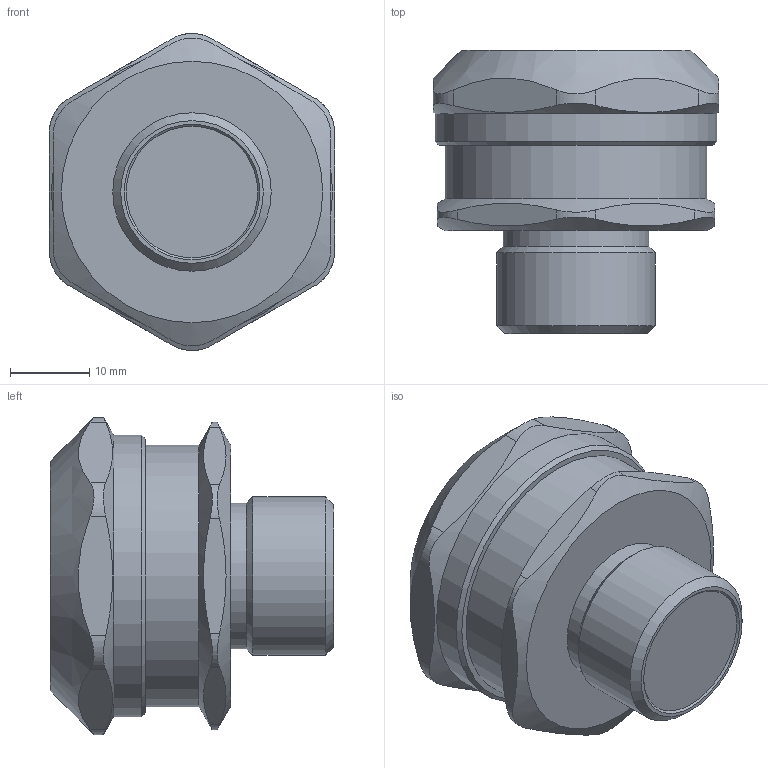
import cadquery as cq
import math


CAP_HEX_LENGTH = 8.0
COLLAR_LENGTH = 4.0
BODY_LENGTH = 6.75
BODY_HEX_LENGTH = 4.0
NECK_LENGTH = 2.0
THREAD_LENGTH = 11.0

COLLAR_DIAMETER = 35.5
BODY_DIAMETER = 33.0
NECK_DIAMETER = 18.4
THREAD_DIAMETER = 20.0

CAP_ACROSS_FLATS = 36.0
BODY_HEX_ACROSS_FLATS = 35.0
HEX_SIDES = 6
HEX_CORNER_ANGLE = 180 / HEX_SIDES
HEX_CORNER_RADIUS = 5.0
HEX_BEVEL_ANGLE = 30.0
CAP_REAR_DIAMETER = 29.0
CAP_REAR_ANGLE = 45.0

COLLAR_CHAMFER = 0.5
THREAD_FRONT_CHAMFER = 1.0
THREAD_REAR_CHAMFER = (THREAD_DIAMETER - NECK_DIAMETER) / 2
RECESS_MOUTH_DIAMETER = 17.1
RECESS_FLOOR_DIAMETER = 16.6
RECESS_DEPTH = 0.25

CAP_END = CAP_HEX_LENGTH
COLLAR_END = CAP_END + COLLAR_LENGTH
BODY_END = COLLAR_END + BODY_LENGTH
BODY_HEX_END = BODY_END + BODY_HEX_LENGTH
NECK_END = BODY_HEX_END + NECK_LENGTH
THREAD_END = NECK_END + THREAD_LENGTH


def revolved(outline):
    """Solid of revolution about Y from (radius, station) points that start and end on the axis."""
    points = [(radius, -station) for radius, station in outline]
    return cq.Workplane("XY").polyline(points).close().revolve(360, (0, 0, 0), (0, 1, 0))


def cone_slope(angle):
    """Radius gained per unit of axial length by a bevel at this angle to the axis-normal plane."""
    return 1 / math.tan(math.radians(angle))


def bevel_envelope(start, end, rear_diameter, rear_angle, front_diameter, front_angle):
    """Double cone that widens inward from both end faces of a hexagon."""
    length = end - start
    rear_slope = cone_slope(rear_angle)
    front_slope = cone_slope(front_angle)
    rear_radius = rear_diameter / 2
    front_radius = front_diameter / 2
    meeting = (front_radius - rear_radius + front_slope * length) / (rear_slope + front_slope)
    meeting_radius = rear_radius + rear_slope * meeting
    return revolved([
        (0, start),
        (rear_radius, start),
        (meeting_radius, start + meeting),
        (front_radius, end),
        (0, end),
    ])


def rounded_hexagon(across_flats, start, end):
    corner_angle = math.radians(HEX_CORNER_ANGLE)
    across_corners = across_flats / math.cos(corner_angle)
    face_plane = cq.Workplane("XZ", origin=(0, -start, 0))
    prism = face_plane.polygon(HEX_SIDES, across_corners).extrude(end - start)
    prism = prism.rotate((0, 0, 0), (0, 1, 0), HEX_CORNER_ANGLE)
    return prism.edges("|Y").fillet(HEX_CORNER_RADIUS)


def cap_hexagon():
    envelope = bevel_envelope(
        0, CAP_END, CAP_REAR_DIAMETER, CAP_REAR_ANGLE, COLLAR_DIAMETER, HEX_BEVEL_ANGLE
    )
    return rounded_hexagon(CAP_ACROSS_FLATS, 0, CAP_END).intersect(envelope)


def body_hexagon():
    envelope = bevel_envelope(
        BODY_END, BODY_HEX_END, BODY_DIAMETER, HEX_BEVEL_ANGLE, BODY_DIAMETER, HEX_BEVEL_ANGLE
    )
    return rounded_hexagon(BODY_HEX_ACROSS_FLATS, BODY_END, BODY_HEX_END).intersect(envelope)


def turned_body():
    """Collar, cylindrical body, neck and threaded spigot with its recess, as one turned profile."""
    collar_radius = COLLAR_DIAMETER / 2
    body_radius = BODY_DIAMETER / 2
    neck_radius = NECK_DIAMETER / 2
    thread_radius = THREAD_DIAMETER / 2
    return revolved([
        (0, CAP_END),
        (collar_radius, CAP_END),
        (collar_radius, COLLAR_END - COLLAR_CHAMFER),
        (collar_radius - COLLAR_CHAMFER, COLLAR_END),
        (body_radius, COLLAR_END),
        (body_radius, BODY_END),
        (neck_radius, BODY_END),
        (neck_radius, NECK_END),
        (thread_radius, NECK_END + THREAD_REAR_CHAMFER),
        (thread_radius, THREAD_END - THREAD_FRONT_CHAMFER),
        (thread_radius - THREAD_FRONT_CHAMFER, THREAD_END),
        (RECESS_MOUTH_DIAMETER / 2, THREAD_END),
        (RECESS_FLOOR_DIAMETER / 2, THREAD_END - RECESS_DEPTH),
        (0, THREAD_END - RECESS_DEPTH),
    ])


result = turned_body().union(cap_hexagon()).union(body_hexagon())